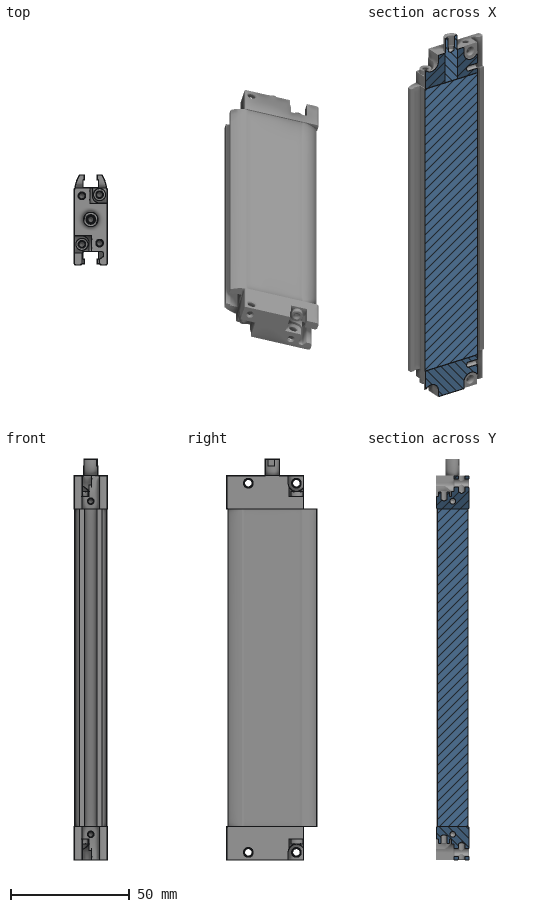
import cadquery as cq
import math


total_length = 169.0
rod_exposed = 7.0
cap_length = 14.0
caps_end = total_length - rod_exposed
barrel_length = caps_end - 2 * cap_length
top_cap_start = caps_end - cap_length

barrel_half_depth = 18.8
jaw_half_width = 6.8
jaw_tip_half_width = 4.7
jaw_curve_radius = 13.5
side_flat_half_width = 6.6
side_flat_half_depth = 11.7
side_step_half_depth = 12.7
rail_lip_half_width = 2.7
rail_half_width = 3.2
rail_floor = 13.5
rail_lip_start = 16.7

cap_width = 14.0
cap_half_width = cap_width / 2
cap_back = 13.2
cap_front = 19.3
cap_back_radius = 0.5
cap_jaw_inner = 3.7
cap_jaw_radius = 1.0
undercut_half_width = 5.4
undercut_end = 15.5
undercut_slope_end = 16.7

screw_x = 3.7
screw_y = 10.5
head_diameter = 5.0
head_height = 2.0
head_space_diameter = 6.0
head_space_width = 7.1
head_space_depth = 8.8

cross_hole_y = 10.1
cross_hole_drop = 3.2
cross_hole_diameter = 3.2
cross_mouth_diameter = 4.0
recess_width = 7.0
recess_past_middle = 0.3

drill_diameter = 2.5
drill_mouth_diameter = 3.2
drill_tip_angle = 118.0
end_hole_y = 10.0
end_hole_depth = 6.8
socket_depth = 3.4
port_drill_diameter = 2.2
port_mouth_diameter = 2.7
port_drop = 10.8
port_depth = 5.0

rod_diameter = 6.0
rod_hole_mouth_diameter = 4.0
rod_bore_diameter = 3.2
rod_bore_depth = 5.0
rod_drill_depth = 6.8
rod_flat_distance = 2.7
rod_flat_length = 2.9
rod_flat_turn = -10.0


def countersink(hole_diameter, mouth_diameter, mouth, axis):
    """45 degree cone that narrows from the point `mouth` along `axis`."""
    depth = (mouth_diameter - hole_diameter) / 2
    return cq.Workplane(cq.Solid.makeCone(mouth_diameter / 2, hole_diameter / 2, depth, mouth, axis))


def drilled_hole(diameter, mouth_diameter, depth, mouth, axis):
    """Countersunk blind hole with a conical drill tip, running from `mouth` along `axis`."""
    radius = diameter / 2
    tip_length = radius / math.tan(math.radians(drill_tip_angle / 2))
    shank = cq.Workplane(cq.Solid.makeCylinder(radius, depth, mouth, axis))
    tip = cq.Workplane(cq.Solid.makeCone(radius, 0, tip_length, mouth + axis * depth, axis))
    return shank.union(tip).union(countersink(diameter, mouth_diameter, mouth, axis))


def half_turn(shape):
    return shape.rotate((0, 0, 0), (0, 0, 1), 180)


def make_barrel():
    quarter = (
        cq.Workplane("XY", origin=(0, 0, cap_length))
        .lineTo(side_flat_half_width, 0)
        .lineTo(side_flat_half_width, side_flat_half_depth)
        .lineTo(jaw_half_width, side_step_half_depth)
        .radiusArc((jaw_tip_half_width, barrel_half_depth), -jaw_curve_radius)
        .lineTo(rail_lip_half_width, barrel_half_depth)
        .lineTo(rail_lip_half_width, rail_lip_start)
        .lineTo(rail_half_width, rail_lip_start)
        .lineTo(rail_half_width, rail_floor)
        .lineTo(0, rail_floor)
        .close()
        .extrude(barrel_length)
    )
    half = quarter.union(quarter.mirror("YZ"))
    return half.union(half.mirror("XZ")).clean()


def cap_blank():
    r = cap_jaw_radius
    return (
        cq.Workplane("XY", origin=(0, 0, top_cap_start))
        .moveTo(cap_half_width, cap_back - cap_back_radius)
        .radiusArc((cap_half_width - cap_back_radius, cap_back), -cap_back_radius)
        .lineTo(cap_back_radius - cap_half_width, cap_back)
        .radiusArc((-cap_half_width, cap_back - cap_back_radius), -cap_back_radius)
        .lineTo(-cap_half_width, r - cap_front)
        .radiusArc((r - cap_half_width, -cap_front), -r)
        .lineTo(-cap_jaw_inner - r, -cap_front)
        .radiusArc((-cap_jaw_inner, r - cap_front), -r)
        .lineTo(-cap_jaw_inner, -rail_floor - r)
        .radiusArc((r - cap_jaw_inner, -rail_floor), r)
        .lineTo(undercut_half_width - r, -rail_floor)
        .radiusArc((undercut_half_width, -rail_floor - r), r)
        .lineTo(undercut_half_width, -undercut_end)
        .lineTo(cap_jaw_inner, -undercut_slope_end)
        .lineTo(cap_jaw_inner, r - cap_front)
        .radiusArc((cap_jaw_inner + r, -cap_front), -r)
        .lineTo(cap_half_width - r, -cap_front)
        .radiusArc((cap_half_width, r - cap_front), -r)
        .close()
        .extrude(cap_length)
    )


def screw_head_space():
    """Pocket open to the left side, rounded at its inner back corner, with the screw head left standing."""
    floor = caps_end - head_space_depth
    length = cap_half_width - screw_x + head_space_diameter / 2
    space = (
        cq.Workplane("XY", origin=(-cap_half_width, -screw_y, floor))
        .box(length, head_space_width, head_space_depth, centered=(False, True, False))
        .edges("|Z and >X and >Y")
        .fillet(head_space_diameter / 2)
    )
    head_seat = cq.Workplane("XY", origin=(-screw_x, -screw_y, floor))
    head = head_seat.circle(head_diameter / 2).extrude(head_height)
    return space.cut(head)


def cross_hole_recess():
    """Round-bottomed recess, open at the top, from the left side to just past the middle."""
    length = cap_half_width + recess_past_middle
    axis_height = caps_end - cross_hole_drop
    start = cq.Vector(-cap_half_width, -cross_hole_y, axis_height)
    round_bottom = cq.Workplane(cq.Solid.makeCylinder(recess_width / 2, length, start, cq.Vector(1, 0, 0)))
    open_top = cq.Workplane("XY", origin=start.toTuple()).box(
        length, recess_width, cross_hole_drop, centered=(False, True, False)
    )
    return round_bottom.union(open_top)


def cross_hole():
    """Hole through to the right side, countersunk there and in the end wall of the recess."""
    inner = cq.Vector(recess_past_middle, -cross_hole_y, caps_end - cross_hole_drop)
    outer = cq.Vector(cap_half_width, -cross_hole_y, caps_end - cross_hole_drop)
    inward = cq.Vector(-1, 0, 0)
    hole = cq.Workplane(
        cq.Solid.makeCylinder(cross_hole_diameter / 2, cap_half_width - recess_past_middle, outer, inward)
    )
    for mouth, axis in ((inner, -inward), (outer, inward)):
        hole = hole.union(countersink(cross_hole_diameter, cross_mouth_diameter, mouth, axis))
    return hole


def make_plain_cap():
    """Cap in its top position, without a bore for the rod."""
    down = cq.Vector(0, 0, -1)
    socket_mouth = cq.Vector(-screw_x, -screw_y, caps_end - head_space_depth + head_height)
    end_hole_mouth = cq.Vector(screw_x, -end_hole_y, caps_end)
    cuts = [
        cross_hole_recess().union(screw_head_space()),
        cross_hole(),
        drilled_hole(drill_diameter, drill_mouth_diameter, socket_depth, socket_mouth, down),
        drilled_hole(drill_diameter, drill_mouth_diameter, end_hole_depth, end_hole_mouth, down),
    ]
    cap = cap_blank()
    for cut in cuts:
        cap = cap.cut(cut).cut(half_turn(cut))
    port_mouth = cq.Vector(0, -rail_floor, caps_end - port_drop)
    port = drilled_hole(port_drill_diameter, port_mouth_diameter, port_depth, port_mouth, cq.Vector(0, 1, 0))
    return cap.cut(port)


def rod_blank(length):
    return cq.Workplane("XY", origin=(0, 0, top_cap_start)).circle(rod_diameter / 2).extrude(length)


def make_rod():
    rod = rod_blank(total_length - top_cap_start)
    flat = cq.Workplane("XY", origin=(rod_flat_distance, 0, total_length - rod_flat_length)).box(
        rod_diameter, rod_diameter, rod_flat_length, centered=(False, True, False)
    ).rotate((0, 0, 0), (0, 0, 1), rod_flat_turn)
    rod = rod.cut(flat).cut(half_turn(flat))
    rod_end = cq.Vector(0, 0, total_length)
    down = cq.Vector(0, 0, -1)
    bore = cq.Workplane(cq.Solid.makeCylinder(rod_bore_diameter / 2, rod_bore_depth, rod_end, down))
    drill = drilled_hole(drill_diameter, rod_bore_diameter, rod_drill_depth, rod_end, down)
    mouth = countersink(rod_bore_diameter, rod_hole_mouth_diameter, rod_end, down)
    return rod.cut(bore).cut(drill).cut(mouth)


barrel = make_barrel()
plain_cap = make_plain_cap()
bottom_cap = plain_cap.mirror("XY", (0, 0, caps_end / 2))
top_cap = plain_cap.cut(rod_blank(cap_length))
rod = make_rod()

result = cq.Compound.makeCompound([barrel.val(), bottom_cap.val(), top_cap.val(), rod.val()])